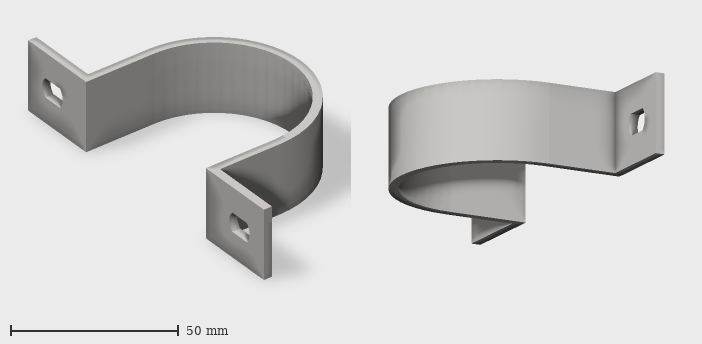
import cadquery as cq

overall_width = 116.0
overall_depth = 58.0
strip_height = 25.0
thickness = 3.0

outer_radius = 32.5
inner_radius = outer_radius - thickness
arch_center_y = overall_depth - outer_radius

hole_spacing = 92.0
hole_diameter = 10.0
hole_flat_height = 6.8


def make_arch_profile(radius):
    """Extruded U shape: straight legs from Y = 0 closed by a half circle."""
    return (
        cq.Workplane("XY")
        .moveTo(-radius, 0)
        .lineTo(-radius, arch_center_y)
        .threePointArc((0, arch_center_y + radius), (radius, arch_center_y))
        .lineTo(radius, 0)
        .close()
        .extrude(strip_height)
    )


def make_hole_cutter(center_x):
    """Cylinder along Y, trimmed flat at the top and bottom."""
    middle = cq.Workplane("XZ", origin=(center_x, thickness, strip_height / 2))
    cylinder = middle.circle(hole_diameter / 2).extrude(thickness)
    flats = middle.rect(hole_diameter, hole_flat_height).extrude(thickness)
    return cylinder.intersect(flats)


flanges = cq.Workplane("XY").box(
    overall_width, thickness, strip_height, centered=(True, False, False)
)
result = flanges.union(make_arch_profile(outer_radius)).cut(make_arch_profile(inner_radius))

for side in (-1, 1):
    result = result.cut(make_hole_cutter(side * hole_spacing / 2))